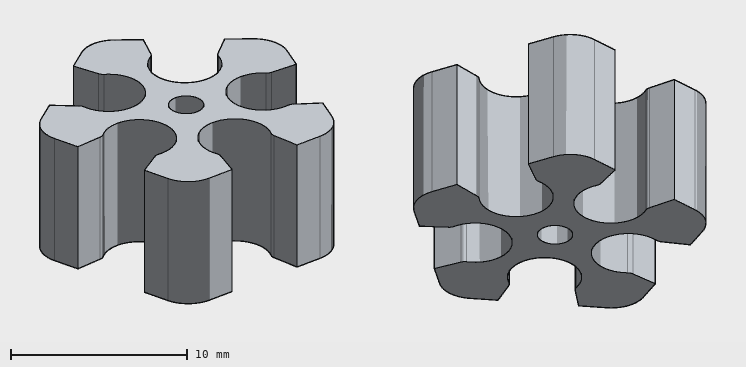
import cadquery as cq
import math

arm_count = 5
width = 16.65
height = 8.0
corner_radius = 2.0
bore_diameter = 2.0
slot_radius = 2.1
slot_center_distance = 4.6
throat_half_width = 1.85
throat_edge_radius = 0.5
mouth_half_width = 2.3
mouth_overrun = 0.03

pitch = 360.0 / arm_count
half_pitch = math.radians(pitch / 2)
widest_corner_angle = math.radians(90 - pitch)
corner_center_distance = (width / 2 - corner_radius) / math.cos(widest_corner_angle)
flat_distance = corner_center_distance * math.cos(half_pitch) + corner_radius
pentagon_radius = flat_distance / math.cos(half_pitch)


def make_body():
    """Rounded pentagonal prism with one corner on +Y and a flat on -Y."""
    corners = []
    for i in range(arm_count):
        angle = math.radians(90 + i * pitch)
        corners.append((pentagon_radius * math.cos(angle), pentagon_radius * math.sin(angle)))
    prism = cq.Workplane("XY").polyline(corners).close().extrude(height)
    return prism.edges("|Z").fillet(corner_radius)


def make_slot():
    """Cutter for the -Y flat: a round seat opening into a flared mouth."""
    throat_y = -slot_center_distance - math.sqrt(slot_radius**2 - throat_half_width**2)
    flare_slope = (mouth_half_width - throat_half_width) / (throat_y + flat_distance)
    outer_half_width = mouth_half_width + mouth_overrun * flare_slope
    outer_y = -flat_distance - mouth_overrun
    cutter = (
        cq.Workplane("XY")
        .moveTo(-throat_half_width, throat_y)
        .threePointArc((0, slot_radius - slot_center_distance), (throat_half_width, throat_y))
        .lineTo(outer_half_width, outer_y)
        .lineTo(-outer_half_width, outer_y)
        .close()
        .extrude(height)
    )
    return cutter.edges("|Z").edges(">Y").fillet(throat_edge_radius)


result = make_body()
slot = make_slot()
for i in range(arm_count):
    result = result.cut(slot.rotate((0, 0, 0), (0, 0, 1), i * pitch))

result = result.faces(">Z").workplane(origin=(0, 0, height)).hole(bore_diameter)